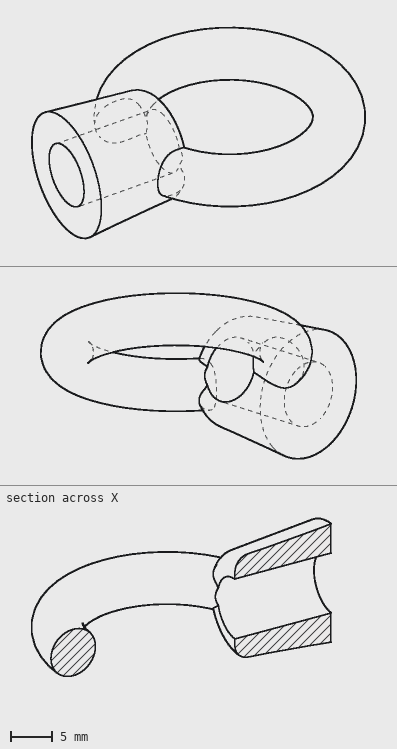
import cadquery as cq
import math

RING_OUTER_DIAMETER = 32.6
RING_INNER_DIAMETER = 20.0
TUBE_RADIUS = (RING_OUTER_DIAMETER - RING_INNER_DIAMETER) / 4
RING_RADIUS = RING_INNER_DIAMETER / 2 + TUBE_RADIUS

OVERALL_LENGTH = 39.3
BOSS_BASE_DIAMETER = 16.0
BOSS_HEIGHT = 13.5
BOSS_TAPER_DEGREES = 5.0
BOSS_FILLET = 2.0
BORE_DIAMETER = 8.0

BASE_Y = RING_OUTER_DIAMETER / 2 - OVERALL_LENGTH
BOSS_TOP_Y = BASE_Y + BOSS_HEIGHT


def make_ring():
    """Round bar swept into a full ring about the Z axis."""
    return (
        cq.Workplane("XZ")
        .center(RING_RADIUS, 0)
        .circle(TUBE_RADIUS)
        .revolve(360, (-RING_RADIUS, 0), (-RING_RADIUS, 1))
    )


def make_boss():
    """Cone frustum narrowing toward the ring, with its inner rim rounded."""
    base_radius = BOSS_BASE_DIAMETER / 2
    top_radius = base_radius - BOSS_HEIGHT * math.tan(math.radians(BOSS_TAPER_DEGREES))
    frustum = (
        cq.Workplane("XY")
        .moveTo(0, BASE_Y)
        .lineTo(base_radius, BASE_Y)
        .lineTo(top_radius, BOSS_TOP_Y)
        .lineTo(0, BOSS_TOP_Y)
        .close()
        .revolve(360, (0, 0), (0, 1))
    )
    return frustum.faces(">Y").edges().fillet(BOSS_FILLET)


def make_bore():
    """Cylinder running through the boss and on to the centre of the ring."""
    return (
        cq.Workplane("XZ", origin=(0, BASE_Y, 0))
        .circle(BORE_DIAMETER / 2)
        .extrude(BASE_Y)
    )


result = make_ring().union(make_boss()).cut(make_bore())